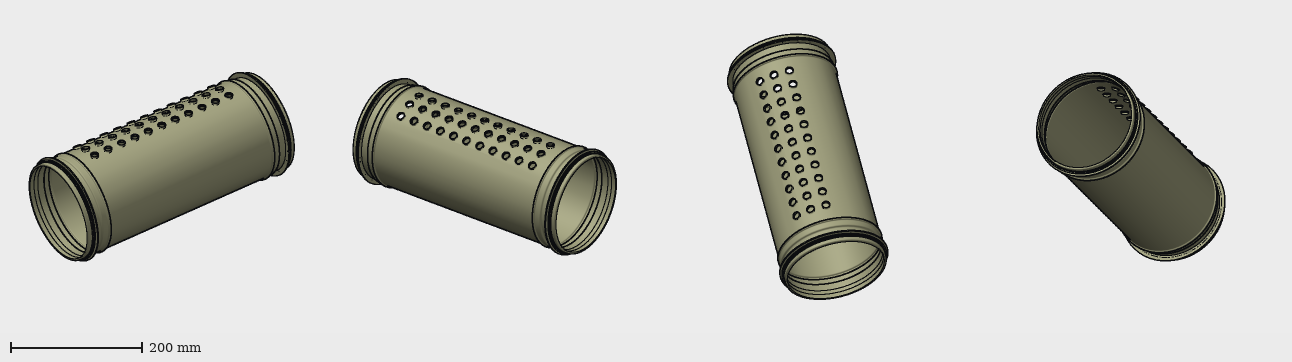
import cadquery as cq
import math

length = 384.0
half_length = length / 2
wall = 0.8
barrel_radius = 159.0 / 2
groove_radius = 153.0 / 2

hem_width = 8.0
hem_face_radius = 155.5 / 2
hem_rounding = barrel_radius - hem_face_radius

shoulder_top = 29.0
shoulder_width = 4.2
bead_centre = 40.0

bead_height = 2.3
bead_half_width = 3.5
bead_foot_share = 1 / 3

neck_radius = 12.3 / 2
bore_radius = 11.0 / 2
neck_top = 82.5
neck_flare = 2.3
nozzle_pitch = 25.0
nozzles_per_row = 11
row_angle = 17.2
row_count = 3

gasket_outer_face = 7.3
heel_end = 9.2
first_fin_end = 10.7
second_fin_start = 13.0
gasket_inner_face = 15.0
heel_radius = 160.5 / 2
body_radius = 158.0 / 2
first_fin_radius = 164.5 / 2
second_fin_radius = 169.3 / 2


def point_between(start, end, share):
    """Point at the given share of the way from start to end."""
    return tuple(a + share * (b - a) for a, b in zip(start, end))


def half_tube_profile(depth):
    """Half-section from the axis to the sheet surface lying `depth` below the outer skin.

    Each S-shaped flank is two tangent arcs that meet on the straight line between its ends.
    """
    barrel = barrel_radius - depth
    groove = groove_radius - depth
    bead_top = barrel + bead_height

    bead_y = half_length - bead_centre
    flank_radii = (bead_half_width**2 + bead_height**2) / (2 * bead_height)
    foot_share = bead_foot_share + depth / flank_radii
    foot_in = (barrel, bead_y - bead_half_width)
    foot_out = (barrel, bead_y + bead_half_width)
    crown_in = point_between(foot_in, (bead_top, bead_y), foot_share)
    crown_out = point_between(foot_out, (bead_top, bead_y), foot_share)

    drop = barrel - groove
    shoulder_radii = (shoulder_width**2 + drop**2) / (2 * drop)
    round_share = 0.5 - depth / shoulder_radii
    top = (barrel, half_length - shoulder_top)
    foot = (groove, top[1] + shoulder_width)

    return (
        cq.Workplane("XY")
        .moveTo(0, 0)
        .lineTo(barrel, 0)
        .lineTo(*foot_in)
        .tangentArcPoint(crown_in, relative=False)
        .tangentArcPoint(crown_out, relative=False)
        .tangentArcPoint(foot_out, relative=False)
        .lineTo(*top)
        .tangentArcPoint(point_between(top, foot, round_share), relative=False)
        .tangentArcPoint(foot, relative=False)
        .lineTo(groove, half_length)
        .lineTo(0, half_length)
        .close()
    )


def revolve_about_y(profile):
    return profile.revolve(360, (0, 0, 0), (0, 1, 0))


def full_length_form(depth):
    """Solid bounded by the sheet surface at `depth`, over the whole tube length."""
    half = revolve_about_y(half_tube_profile(depth))
    return half.union(half.mirror("XZ")).clean()


def nozzle_cylinders(radius, top):
    """Radial cylinders from the tube axis out to `top`, one per nozzle."""
    cylinders = []
    for row in range(row_count):
        angle = math.radians(row * row_angle)
        outward = cq.Vector(-math.sin(angle), 0, math.cos(angle))
        for place in range(nozzles_per_row):
            y = (place - (nozzles_per_row - 1) / 2) * nozzle_pitch
            cylinders.append(cq.Solid.makeCylinder(radius, top, cq.Vector(0, y, 0), outward))
    return cq.Workplane(obj=cq.Compound.makeCompound(cylinders))


def make_hem():
    """Solid disc with a rounded rim at the +Y end; the tube bore opens it into a ring."""
    disc = cq.Workplane("XZ", origin=(0, half_length, 0)).circle(barrel_radius).extrude(hem_width)
    return disc.edges().fillet(hem_rounding)


def make_outer_form():
    """Outside of the tube without its nozzles, filled solid."""
    hem = make_hem()
    return full_length_form(0).union(hem).union(hem.mirror("XZ"))


def make_tube(outer_form):
    necked = outer_form.union(nozzle_cylinders(neck_radius, neck_top))
    flared = necked.edges("%BSPLINE").fillet(neck_flare)
    return flared.cut(full_length_form(wall)).cut(nozzle_cylinders(bore_radius, neck_top))


def make_gasket(outer_form):
    """Finned ring at the +Y end, its underside shaped by the groove and hem it lies against."""
    steps = [
        (heel_radius, gasket_outer_face, heel_end),
        (first_fin_radius, heel_end, first_fin_end),
        (body_radius, first_fin_end, second_fin_start),
        (second_fin_radius, second_fin_start, gasket_inner_face),
    ]
    outline = [(groove_radius, half_length - gasket_outer_face)]
    for radius, start, end in steps:
        outline.append((radius, half_length - start))
        outline.append((radius, half_length - end))
    outline.append((groove_radius, half_length - gasket_inner_face))
    ring = revolve_about_y(cq.Workplane("XY").polyline(outline).close())
    return ring.cut(outer_form)


tube_form = make_outer_form()
tube = make_tube(tube_form)
gasket = make_gasket(tube_form)
opposite_gasket = gasket.mirror("XZ")

result = cq.Compound.makeCompound([tube.val(), gasket.val(), opposite_gasket.val()])